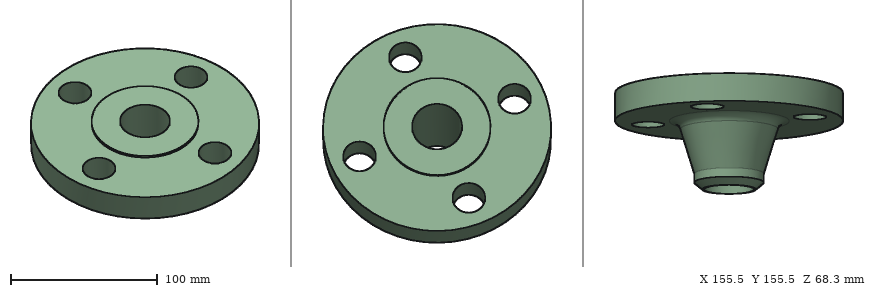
import cadquery as cq
import math

flange_diameter = 155.5
flange_thickness = 19.3
face_diameter = 73.0
face_height = 1.5

total_height = 68.3
neck_radius = 23.8
bevel_height = 4.7
bevel_end_radius = 18.2
neck_top = 10.9
cone_half_angle = 17.0
root_fillet_radius = 8.0

bore_diameter = 34.0
bolt_hole_diameter = 22.2
bolt_circle_radius = 57.1
bolt_count = 4

flange_top = total_height - face_height
flange_bottom = flange_top - flange_thickness

cone_angle = math.radians(cone_half_angle)
hub_top = flange_bottom - root_fillet_radius * (1 - math.sin(cone_angle))
hub_radius = neck_radius + (hub_top - neck_top) * math.tan(cone_angle)

fillet_center_radius = hub_radius + root_fillet_radius * math.cos(cone_angle)
fillet_center_height = flange_bottom - root_fillet_radius
mid_angle = (cone_angle + math.pi / 2) / 2
fillet_middle = (
    fillet_center_radius - root_fillet_radius * math.cos(mid_angle),
    fillet_center_height + root_fillet_radius * math.sin(mid_angle),
)


def make_body():
    """Revolve the half profile (radius, height) about the Z axis."""
    return (
        cq.Workplane("XZ")
        .moveTo(0, 0)
        .lineTo(bevel_end_radius, 0)
        .lineTo(neck_radius, bevel_height)
        .lineTo(neck_radius, neck_top)
        .lineTo(hub_radius, hub_top)
        .threePointArc(fillet_middle, (fillet_center_radius, flange_bottom))
        .lineTo(flange_diameter / 2, flange_bottom)
        .lineTo(flange_diameter / 2, flange_top)
        .lineTo(face_diameter / 2, flange_top)
        .lineTo(face_diameter / 2, total_height)
        .lineTo(0, total_height)
        .close()
        .revolve(360, (0, 0, 0), (0, 1, 0))
    )


def make_bore():
    return cq.Workplane("XY").circle(bore_diameter / 2).extrude(total_height)


def make_bolt_holes():
    return (
        cq.Workplane("XY")
        .polarArray(bolt_circle_radius, 0, 360, bolt_count)
        .circle(bolt_hole_diameter / 2)
        .extrude(total_height)
    )


result = make_body().cut(make_bore()).cut(make_bolt_holes())